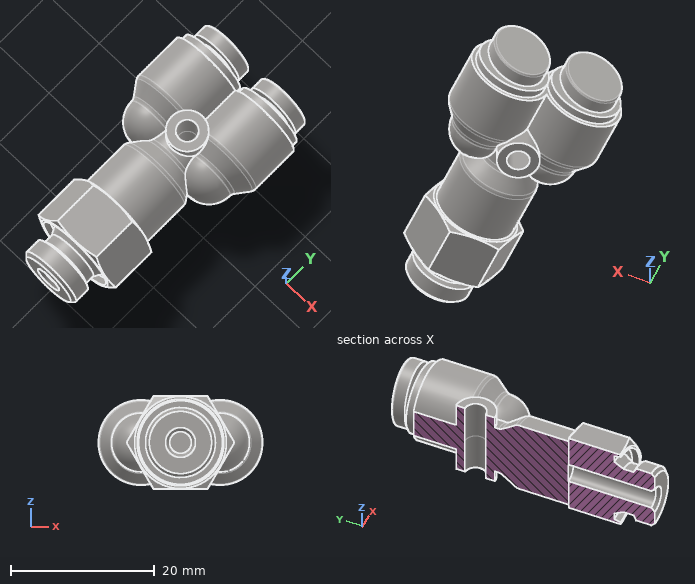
import cadquery as cq
import math


thread_top = 2.95
neck_bottom = 3.3
neck_top = 4.85
nut_bottom = 5.3
nut_top = 13.35
stem_shoulder = 21.3
ball_center = 26.4
boss_center = 27.7
branch_shoulder = 29.32
branch_top = 37.25
ring_top = 38.5
flange_bottom = 39.25
sleeve_top = 41.3

thread_diameter = 9.75
thread_chamfer = 0.55
neck_diameter = 8.15
neck_base_diameter = 9.75
bore_diameter = 3.0
bore_mouth_diameter = 4.17
nut_width = 13.0
nut_face_diameter = 12.8
nut_corner_drop = 0.45
recess_mouth_diameter = 12.1
recess_floor_diameter = 11.65
recess_depth = 1.0

body_diameter = 11.9
ball_diameter = 8.2
branch_offset = 5.5
taper_length = 2.55
taper_fillet = 1.0
boss_diameter = 6.0
boss_height = body_diameter
boss_hole_diameter = 3.2

ring_diameter = 10.6
sleeve_neck_diameter = 5.5
flange_width = 8.6
flange_height = 10.8
flange_fillet = 0.25


def axial(y):
    """Workplane across the Y axis at level y, facing +Y and with X as its first axis."""
    return cq.Workplane(cq.Plane(origin=(0, y, 0), xDir=(1, 0, 0), normal=(0, 1, 0)))


def cylinder(diameter, bottom, top):
    return axial(bottom).circle(diameter / 2).extrude(top - bottom)


def turned(profile):
    """Solid turned about Y from (radius, y) points that start and end on the axis."""
    return cq.Workplane("XY").polyline(profile).close().revolve(360, (0, 0, 0), (0, 1, 0))


def round_ring_edge(solid, radius, y):
    """Fillet the circular edge of the given radius at level y of a turned solid."""
    margin = 0.05
    reach = radius + margin
    edge = cq.selectors.BoxSelector(
        (-reach, y - margin, -reach), (reach, y + margin, reach), boundingbox=True
    )
    return solid.edges(edge).fillet(taper_fillet)


def make_nut():
    corner_radius = nut_width / math.sqrt(3)
    face_radius = nut_face_diameter / 2
    hexagon = axial(nut_bottom).polygon(6, 2 * corner_radius).extrude(nut_top - nut_bottom)
    chamfer_envelope = turned([
        (0, nut_bottom),
        (face_radius, nut_bottom),
        (corner_radius, nut_bottom + nut_corner_drop),
        (corner_radius, nut_top - nut_corner_drop),
        (face_radius, nut_top),
        (0, nut_top),
    ])
    recess = turned([
        (0, nut_bottom),
        (recess_mouth_diameter / 2, nut_bottom),
        (recess_floor_diameter / 2, nut_bottom + recess_depth),
        (0, nut_bottom + recess_depth),
    ])
    return hexagon.intersect(chamfer_envelope).cut(recess)


def make_connector():
    thread_radius = thread_diameter / 2
    neck_radius = neck_diameter / 2
    neck_base = nut_bottom + recess_depth
    stub = turned([
        (0, 0),
        (thread_radius - thread_chamfer, 0),
        (thread_radius, thread_chamfer),
        (thread_radius, thread_top),
        (neck_radius, neck_bottom),
        (neck_radius, neck_top),
        (neck_base_diameter / 2, neck_base),
        (0, neck_base),
    ])
    bore = cylinder(bore_diameter, 0, nut_top)
    mouth_depth = (bore_mouth_diameter - bore_diameter) / 2
    mouth = turned([
        (0, 0),
        (bore_mouth_diameter / 2, 0),
        (bore_diameter / 2, mouth_depth),
        (0, mouth_depth),
    ])
    return make_nut().union(stub).cut(bore).cut(mouth)


def make_branch():
    """One port barrel on the Y axis, tapering to a ball end."""
    taper_end = branch_shoulder - taper_length
    barrel = turned([
        (0, ball_center),
        (ball_diameter / 2, ball_center),
        (ball_diameter / 2, taper_end),
        (body_diameter / 2, branch_shoulder),
        (body_diameter / 2, branch_top),
        (0, branch_top),
    ])
    barrel = round_ring_edge(barrel, ball_diameter / 2, taper_end)
    barrel = round_ring_edge(barrel, body_diameter / 2, branch_shoulder)
    ball = cq.Workplane("XY").sphere(ball_diameter / 2).translate((0, ball_center, 0))
    return barrel.union(ball)


def make_stem():
    taper_end = stem_shoulder + taper_length
    stem = turned([
        (0, nut_top),
        (body_diameter / 2, nut_top),
        (body_diameter / 2, stem_shoulder),
        (ball_diameter / 2, taper_end),
        (ball_diameter / 2, boss_center),
        (0, boss_center),
    ])
    stem = round_ring_edge(stem, ball_diameter / 2, taper_end)
    return round_ring_edge(stem, body_diameter / 2, stem_shoulder)


def make_housing():
    housing = make_stem()
    for side in (-1, 1):
        housing = housing.union(make_branch().translate((side * branch_offset, 0, 0)))
    boss_plane = cq.Workplane("XY").center(0, boss_center)
    boss = boss_plane.circle(boss_diameter / 2).extrude(boss_height / 2, both=True)
    hole = boss_plane.circle(boss_hole_diameter / 2).extrude(boss_height, both=True)
    return housing.union(boss).cut(hole)


def make_ring(x):
    return cylinder(ring_diameter, branch_top, ring_top).translate((x, 0, 0))


def make_sleeve(x):
    neck = cylinder(sleeve_neck_diameter, ring_top, flange_bottom)
    flange = axial(flange_bottom).ellipse(flange_width / 2, flange_height / 2)
    flange = flange.extrude(sleeve_top - flange_bottom).faces(">Y").edges().fillet(flange_fillet)
    return neck.union(flange).translate((x, 0, 0))


connector = make_connector()
housing = make_housing()
port_centers = [-branch_offset, branch_offset]
rings = [make_ring(x).val() for x in port_centers]
sleeves = [make_sleeve(x).val() for x in port_centers]

result = cq.Compound.makeCompound([connector.val(), housing.val(), *rings, *sleeves])